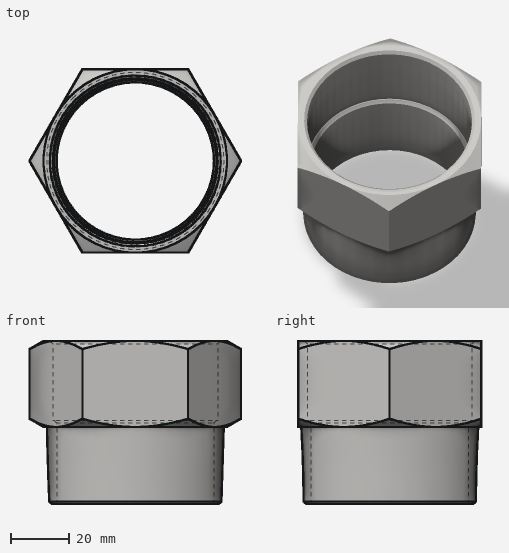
import cadquery as cq
import math

corner_width = 72.75
flat_width = corner_width * math.cos(math.pi / 6)
total_height = 56.0
collar_height = 29.55
collar_base = total_height - collar_height
chamfer_drop = (corner_width - flat_width) / 2 * math.tan(math.radians(30))

spigot_top_diameter = 60.9
taper = 1 / 16
spigot_end_diameter = spigot_top_diameter - taper * collar_base
end_chamfer = 0.95

socket_diameter = 56.7
socket_mouth_diameter = 58.65
socket_depth = 27.3
through_diameter = 54.0
through_chamfer = 0.95
mouth_chamfer = (socket_mouth_diameter - socket_diameter) / 2


def revolve_profile(points):
    """Revolve a closed (radius, height) outline about the Z axis."""
    return cq.Workplane("XZ").polyline(points).close().revolve(360, (0, 0, 0), (0, 1, 0))


def make_collar():
    """Hexagonal prism with its corners turned off at 30 degrees at both ends."""
    hexagon = (
        cq.Workplane("XY")
        .workplane(offset=collar_base)
        .polygon(6, corner_width)
        .extrude(collar_height)
    )
    turned_blank = revolve_profile([
        (0, collar_base),
        (flat_width / 2, collar_base),
        (corner_width / 2, collar_base + chamfer_drop),
        (corner_width / 2, total_height - chamfer_drop),
        (flat_width / 2, total_height),
        (0, total_height),
    ])
    return hexagon.intersect(turned_blank)


def make_spigot():
    """Taper narrowing downward, with a chamfered lower end."""
    end_radius = spigot_end_diameter / 2
    return revolve_profile([
        (0, 0),
        (end_radius - end_chamfer, 0),
        (end_radius + taper / 2 * end_chamfer, end_chamfer),
        (spigot_top_diameter / 2, collar_base),
        (0, collar_base),
    ])


def make_bore():
    """Through hole with a chamfered rim, opening into a wider socket with a chamfered mouth."""
    socket_floor = total_height - socket_depth
    return revolve_profile([
        (0, 0),
        (through_diameter / 2, 0),
        (through_diameter / 2, socket_floor - through_chamfer),
        (through_diameter / 2 + through_chamfer, socket_floor),
        (socket_diameter / 2, socket_floor),
        (socket_diameter / 2, total_height - mouth_chamfer),
        (socket_mouth_diameter / 2, total_height),
        (0, total_height),
    ])


result = make_collar().union(make_spigot()).cut(make_bore())